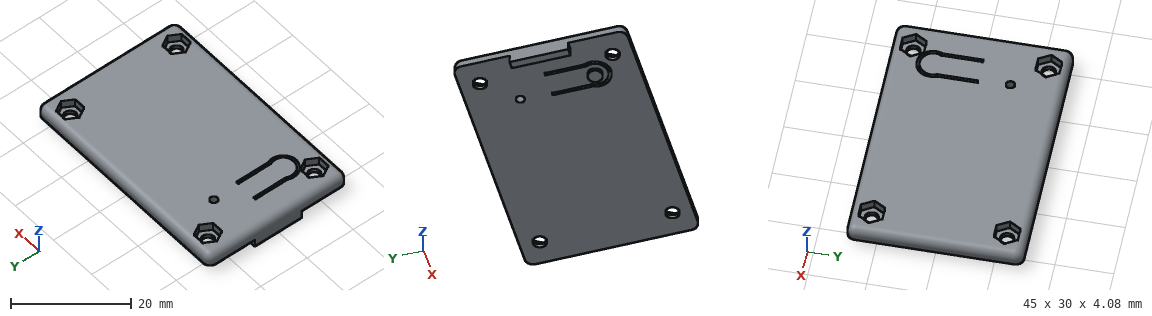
import cadquery as cq

LENGTH = 45.0
WIDTH = 30.0
THICKNESS = 2.48
EDGE_RADIUS = 1.5

HOLE_SPACING_X = 36.0
HOLE_SPACING_Y = 23.0
HOLE_DIAMETER = 2.4
NUT_ACROSS_CORNERS = 4.72
NUT_DEPTH = 1.65

SMALL_HOLE_CENTRE = (-12.85, 6.0)
SMALL_HOLE_DIAMETER = 1.5

BUTTON_CENTRE = (-14.7, -7.5)
BUTTON_RADIUS = 2.25
BUTTON_GAP = 0.5
ARM_WIDTH = 4.0
ARM_GAP = 0.5
ARM_ROOT_Y = 0.55
PIN_DIAMETER = 2.5
PIN_HEIGHT = 0.6

TAB_THICKNESS = 1.4
TAB_LENGTH = 10.15
TAB_HEIGHT = 1.6


def make_plate():
    """Plate with round vertical corners and a round top edge."""
    plate = cq.Workplane("XY").box(LENGTH, WIDTH, THICKNESS, centered=(True, True, False))
    return plate.edges("|Z or >Z").fillet(EDGE_RADIUS)


def make_screw_cutters():
    """Through holes plus the nut pockets sunk from the top face."""
    holes = (
        cq.Workplane("XY")
        .rarray(HOLE_SPACING_X, HOLE_SPACING_Y, 2, 2)
        .circle(HOLE_DIAMETER / 2)
        .extrude(THICKNESS)
    )
    pockets = (
        cq.Workplane("XY")
        .workplane(offset=THICKNESS - NUT_DEPTH)
        .rarray(HOLE_SPACING_X, HOLE_SPACING_Y, 2, 2)
        .polygon(6, NUT_ACROSS_CORNERS)
        .extrude(NUT_DEPTH)
    )
    return holes.union(pockets)


def button_outline(radius, arm_width):
    """Round button head joined to a straight arm, as a full-thickness solid."""
    x, y = BUTTON_CENTRE
    arm_length = ARM_ROOT_Y - y
    head = cq.Workplane("XY").center(x, y).circle(radius).extrude(THICKNESS)
    arm = (
        cq.Workplane("XY")
        .center(x, y + arm_length / 2)
        .rect(arm_width, arm_length)
        .extrude(THICKNESS)
    )
    return head.union(arm)


def make_button_slot():
    """Narrow gap around the button head and along both sides of its arm."""
    outer = button_outline(BUTTON_RADIUS + BUTTON_GAP, ARM_WIDTH + 2 * ARM_GAP)
    return outer.cut(button_outline(BUTTON_RADIUS, ARM_WIDTH))


def make_pin():
    """Contact pin under the button head."""
    return cq.Workplane("XY").center(*BUTTON_CENTRE).circle(PIN_DIAMETER / 2).extrude(-PIN_HEIGHT)


def make_tab():
    """Rectangular tab flush with the -X side, hanging below the plate."""
    return (
        cq.Workplane("XY")
        .center((TAB_THICKNESS - LENGTH) / 2, 0)
        .rect(TAB_THICKNESS, TAB_LENGTH)
        .extrude(-TAB_HEIGHT)
    )


small_hole = (
    cq.Workplane("XY")
    .center(*SMALL_HOLE_CENTRE)
    .circle(SMALL_HOLE_DIAMETER / 2)
    .extrude(THICKNESS)
)

result = (
    make_plate()
    .cut(make_screw_cutters())
    .cut(small_hole)
    .cut(make_button_slot())
    .union(make_pin())
    .union(make_tab())
)